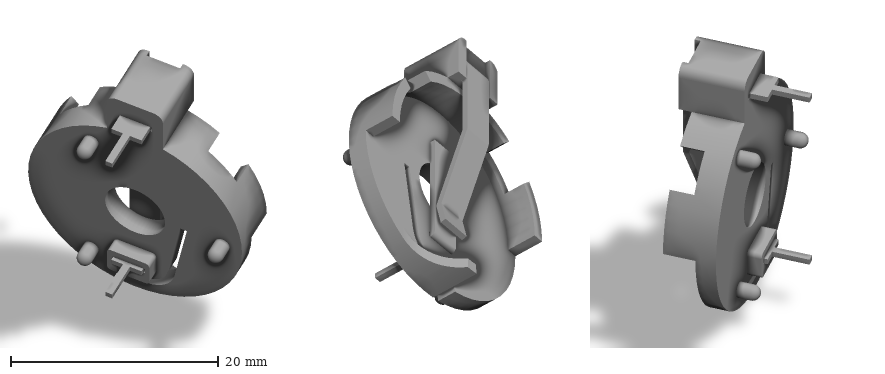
import cadquery as cq
import math


disc_radius = 11.505
cell_radius = 10.35
base_thickness = 2.1
rim_height = 5.4
hole_radius = 3.22

notch_width = 4.35
notch_depth = 2.5
notch_angle = 45

tower_width = 6.0
tower_top = 16.055
tower_depth = 6.75
tower_corner = 1.02

peg_count = 3
peg_circle_radius = 9.4
peg_radius = 0.8
peg_straight = 1.4

slot_width = 0.77
slot_bend_radius = 2.5
slot_lean = 10
slot_top_x = 4.8
slot_end_angle = 11.25
arm_tip_angle = 7.2
ramp_radius = 6.9
ramp_end_x = 5.8

strip_thickness = 0.6
strip_width = 3.25
strip_slot_width = 3.6
blade_length = 1.87
pin_width = 0.75
pin_length = 5.7
upper_leg_z = 13.48
lower_leg_z = -6.55
lower_strip_top = 5.5

spring_bend_z = 4.9
spring_slope_length = 8.6
spring_slope_angle = 21.9
spring_tail_length = 2.37
spring_tail_angle = 12.7

boss_width = 4.57
boss_height = 3.0
boss_depth = 1.5
boss_corner = 0.5
boss_center_z = -6.85


def plane_at(y):
    """Sketch plane parallel to XZ; extruding by a negative length goes to +Y."""
    return cq.Workplane("XZ", origin=(0, y, 0))


def block(width, y_start, y_end, z_low, z_high):
    """Box centred on X = 0."""
    middle = ((y_start + y_end) / 2, (z_low + z_high) / 2)
    return cq.Workplane("XY").box(width, y_end - y_start, z_high - z_low).translate((0, *middle))


def below_axis(radius, angle):
    """Point at an angle measured leftwards from straight down."""
    turn = math.radians(angle)
    return (-radius * math.sin(turn), -radius * math.cos(turn))


def midway(center, radius, start, end):
    """Point on an arc about center, halfway between two directions."""
    dx = start[0] + end[0] - 2 * center[0]
    dy = start[1] + end[1] - 2 * center[1]
    size = math.hypot(dx, dy)
    return (center[0] + radius * dx / size, center[1] + radius * dy / size)


def full_ring():
    """Complete wall around the cell, standing on the base."""
    wall_height = rim_height - base_thickness
    return plane_at(base_thickness).circle(disc_radius).circle(cell_radius).extrude(-wall_height)


def make_rim():
    """Rim around the upper half of the disc; the lower half stays open for the cell."""
    upper_half = block(2 * disc_radius, base_thickness, rim_height, 0, disc_radius)
    return full_ring().intersect(upper_half)


def make_latch_lip():
    """Lip on the latch arm: full height at the tip, then a hollow ramp down to the base."""
    tip_x = -disc_radius * math.sin(math.radians(arm_tip_angle))
    ramp_center_y = base_thickness + ramp_radius
    ramp_start_x = ramp_end_x - math.sqrt(ramp_radius**2 - (ramp_center_y - rim_height) ** 2)
    ramp_middle = midway(
        (ramp_end_x, ramp_center_y), ramp_radius, (ramp_start_x, rim_height), (ramp_end_x, base_thickness)
    )
    side_shape = (
        cq.Workplane("XY")
        .moveTo(tip_x, base_thickness)
        .lineTo(tip_x, rim_height)
        .lineTo(ramp_start_x, rim_height)
        .threePointArc(ramp_middle, (ramp_end_x, base_thickness))
        .close()
        .extrude(-disc_radius)
    )
    return full_ring().intersect(side_shape)


def slot_edge(offset):
    """Points along one edge of the latch slot, offset outwards from its inner edge:
    top, line end, bend middle, bend end."""
    lean = math.radians(slot_lean)
    outward = (math.cos(lean), -math.sin(lean))
    down = (-math.sin(lean), -math.cos(lean))
    inner_radius = cell_radius - slot_width
    bend_reach = inner_radius - slot_bend_radius
    across = slot_top_x * math.cos(lean) - slot_bend_radius
    along = math.sqrt(bend_reach**2 - across**2)
    center = (across * outward[0] + along * down[0], across * outward[1] + along * down[1])

    bend_radius = slot_bend_radius + offset
    top = (slot_top_x + offset / math.cos(lean), 0)
    line_end = (center[0] + bend_radius * outward[0], center[1] + bend_radius * outward[1])
    stretch = (inner_radius + offset) / bend_reach
    bend_end = (center[0] * stretch, center[1] * stretch)
    return top, line_end, midway(center, bend_radius, line_end, bend_end), bend_end


def cut_latch_slot(body):
    inner_radius = cell_radius - slot_width
    past_disc = disc_radius + slot_width
    inner_top, inner_line_end, inner_bend, inner_bend_end = slot_edge(0)
    outer_top, outer_line_end, outer_bend, outer_bend_end = slot_edge(slot_width)
    inner_corner = below_axis(inner_radius, slot_end_angle)
    arm_corner = below_axis(cell_radius, arm_tip_angle)
    slot = (
        plane_at(0)
        .moveTo(*inner_top)
        .lineTo(*inner_line_end)
        .threePointArc(inner_bend, inner_bend_end)
        .threePointArc(midway((0, 0), inner_radius, inner_bend_end, inner_corner), inner_corner)
        .lineTo(*below_axis(past_disc, slot_end_angle))
        .lineTo(*below_axis(past_disc, arm_tip_angle))
        .lineTo(*arm_corner)
        .threePointArc(midway((0, 0), cell_radius, arm_corner, outer_bend_end), outer_bend_end)
        .threePointArc(outer_bend, outer_line_end)
        .lineTo(*outer_top)
        .close()
        .extrude(-rim_height)
    )
    return body.cut(slot)


def cut_rim_notches(body):
    for angle in (-notch_angle, notch_angle):
        notch = block(notch_width, rim_height - notch_depth, rim_height, 0, 2 * disc_radius)
        body = body.cut(notch.rotate((0, 0, 0), (0, 1, 0), angle))
    return body


def make_tower():
    """Tower whose foot is level with the points where its sides meet the disc."""
    foot = math.sqrt(disc_radius**2 - (tower_width / 2) ** 2)
    tower = block(tower_width, 0, tower_depth, foot, tower_top)
    return tower.edges("|Y and >Z").fillet(tower_corner)


def make_boss():
    boss = block(
        boss_width, -boss_depth, 0, boss_center_z - boss_height / 2, boss_center_z + boss_height / 2
    )
    return boss.edges("|Y").fillet(boss_corner)


def make_peg(angle):
    turn = math.radians(angle)
    peg = plane_at(0).circle(peg_radius).extrude(peg_straight)
    tip = cq.Workplane("XY").sphere(peg_radius).translate((0, -peg_straight, 0))
    place = (peg_circle_radius * math.cos(turn), 0, peg_circle_radius * math.sin(turn))
    return peg.union(tip).translate(place)


def leg_slot(leg_z, y_start, y_end):
    half = strip_thickness / 2
    return block(strip_slot_width, y_start, y_end, leg_z - half, leg_z + half)


def make_housing():
    body = plane_at(0).circle(disc_radius).extrude(-base_thickness)
    body = body.union(make_rim()).union(make_latch_lip())
    body = cut_rim_notches(body)
    body = body.union(make_tower())
    body = body.cut(plane_at(0).circle(hole_radius).extrude(-base_thickness))
    body = cut_latch_slot(body)
    body = body.union(make_boss())
    for index in range(peg_count):
        body = body.union(make_peg(index * 360 / peg_count))
    body = body.cut(leg_slot(lower_leg_z, -boss_depth, base_thickness))
    body = body.cut(leg_slot(upper_leg_z, 0, tower_depth))
    channel = block(strip_slot_width, tower_depth - strip_thickness, tower_depth, 0, tower_top)
    return body.cut(channel)


def extrude_strip(profile):
    return profile.close().extrude(strip_width / 2, both=True)


def make_pin(leg_z):
    half = strip_thickness / 2
    return block(pin_width, -pin_length, -blade_length, leg_z - half, leg_z + half)


def make_lower_contact():
    """Flat strip on the base, bent at its lower end into the leg."""
    leg_top = lower_leg_z + strip_thickness / 2
    leg_bottom = leg_top - strip_thickness
    inner_corner = (base_thickness, leg_top)
    strip_face = base_thickness + strip_thickness
    bend_start = (base_thickness, leg_bottom)
    bend_end = (strip_face, leg_top)
    profile = (
        cq.Workplane("YZ")
        .moveTo(-blade_length, leg_top)
        .lineTo(-blade_length, leg_bottom)
        .lineTo(*bend_start)
        .threePointArc(midway(inner_corner, strip_thickness, bend_start, bend_end), bend_end)
        .lineTo(strip_face, lower_strip_top)
        .lineTo(base_thickness, lower_strip_top)
        .lineTo(*inner_corner)
    )
    return extrude_strip(profile).union(make_pin(lower_leg_z))


def make_upper_contact():
    """Leg through the tower, strip down its back, then a spring tongue leaning in to the cell.
    Every bend turns about its sharp inner corner."""
    t = strip_thickness
    leg_bottom = upper_leg_z - t / 2
    leg_top = leg_bottom + t
    inner_face = tower_depth - t
    slope = math.radians(spring_slope_angle)
    tail = math.radians(spring_tail_angle)

    top_corner = (inner_face, leg_bottom)
    top_start = (inner_face, leg_top)
    top_end = (tower_depth, leg_bottom)

    knee = (inner_face, spring_bend_z)
    knee_start = (tower_depth, spring_bend_z)
    knee_end = (knee[0] + t * math.cos(slope), knee[1] - t * math.sin(slope))

    toe = (
        knee_end[0] - spring_slope_length * math.sin(slope),
        knee_end[1] - spring_slope_length * math.cos(slope),
    )
    toe_start = (toe[0] - t * math.cos(tail), toe[1] - t * math.sin(tail))
    toe_end = (toe[0] - t * math.cos(slope), toe[1] + t * math.sin(slope))

    tail_step = (spring_tail_length * math.sin(tail), -spring_tail_length * math.cos(tail))
    profile = (
        cq.Workplane("YZ")
        .moveTo(-blade_length, leg_bottom)
        .lineTo(-blade_length, leg_top)
        .lineTo(*top_start)
        .threePointArc(midway(top_corner, t, top_start, top_end), top_end)
        .lineTo(*knee_start)
        .threePointArc(midway(knee, t, knee_start, knee_end), knee_end)
        .lineTo(*toe)
        .lineTo(toe[0] + tail_step[0], toe[1] + tail_step[1])
        .lineTo(toe_start[0] + tail_step[0], toe_start[1] + tail_step[1])
        .lineTo(*toe_start)
        .threePointArc(midway(toe, t, toe_start, toe_end), toe_end)
        .lineTo(*knee)
        .lineTo(*top_corner)
    )
    return extrude_strip(profile).union(make_pin(upper_leg_z))


housing = make_housing()
lower_contact = make_lower_contact()
upper_contact = make_upper_contact()

result = cq.Compound.makeCompound([housing.val(), lower_contact.val(), upper_contact.val()])